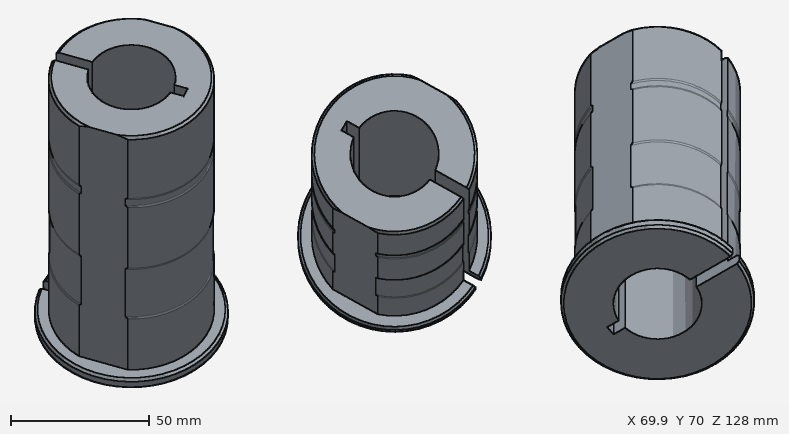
import cadquery as cq
import math

total_height = 128.0
flange_radius = 35.0
flange_height = 5.0
body_radius = 30.0
edge_chamfer = 1.0

flat_distance = 28.5

bore_radius = 16.0
slit_width = 4.0
relief_slot_reach = 21.0

relief_bands = [(32.0, 59.0), (91.0, 96.0)]
band_depth = 0.25
band_ramp_angle = 15.0
band_ramp_height = band_depth / math.tan(math.radians(band_ramp_angle))


def make_flange():
    return (
        cq.Workplane("XY")
        .circle(flange_radius)
        .extrude(flange_height)
        .edges()
        .chamfer(edge_chamfer)
    )


def make_body():
    """Cylinder standing on the base plane, chamfered at its top edge."""
    return (
        cq.Workplane("XY")
        .circle(body_radius)
        .extrude(total_height)
        .faces(">Z")
        .edges()
        .chamfer(edge_chamfer)
    )


def make_band_cutter(bottom, top):
    """Ring that lowers the body by the band depth, with a sloped ramp at both ends."""
    band_radius = body_radius - band_depth
    return (
        cq.Workplane("XZ")
        .moveTo(body_radius, bottom)
        .lineTo(band_radius, bottom + band_ramp_height)
        .lineTo(band_radius, top - band_ramp_height)
        .lineTo(body_radius, top)
        .close()
        .revolve(360, (0, 0, 0), (0, 1, 0))
    )


def make_flat_envelope():
    """Block that keeps only the part of the body between the two flats."""
    return cq.Workplane("XY").box(
        2 * body_radius, 2 * flat_distance, total_height, centered=(True, True, False)
    )


def make_bore_and_slots():
    """Through bore joined with one long slot, open at -X and closed at +X."""
    bore = cq.Workplane("XY").circle(bore_radius).extrude(total_height)
    slot = (
        cq.Workplane("XY")
        .box(
            flange_radius + relief_slot_reach, slit_width, total_height,
            centered=(False, True, False),
        )
        .translate((-flange_radius, 0, 0))
    )
    return bore.union(slot)


body = make_body()
for band_bottom, band_top in relief_bands:
    body = body.cut(make_band_cutter(band_bottom, band_top))
body = body.intersect(make_flat_envelope())

result = make_flange().union(body).cut(make_bore_and_slots())